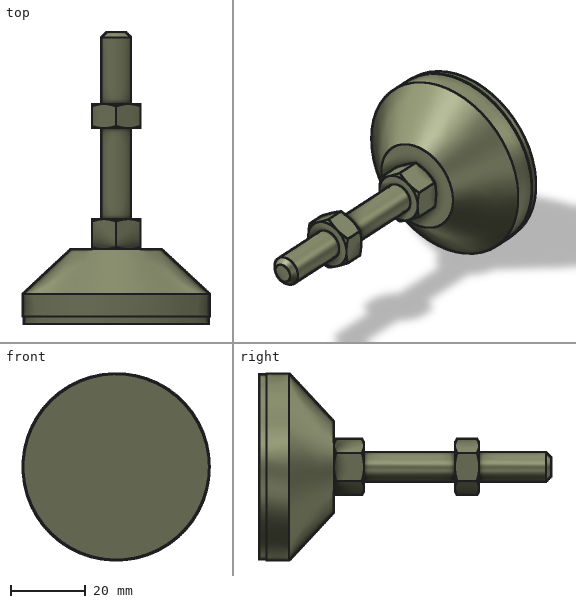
import cadquery as cq
import math

total_length = 78.0

foot_diameter = 50.0
sole_diameter = 49.5
sole_thickness = 2.0
rim_top = 8.0
foot_height = 20.0
neck_diameter = 24.3

stud_diameter = 8.0
tip_diameter = 5.0
tip_length = 1.5

nut_across_flats = 13.0
nut_across_corners = nut_across_flats / math.cos(math.pi / 6)
nut_face_diameter = 13.0
nut_chamfer_angle = 30.0
base_nut_height = 8.0
lock_nut_start = 52.25
lock_nut_height = 6.5


def make_foot():
    """Revolve the stepped sole, cylindrical rim and conical top."""
    return (
        cq.Workplane("XY")
        .lineTo(sole_diameter / 2, 0)
        .lineTo(sole_diameter / 2, sole_thickness)
        .lineTo(foot_diameter / 2, sole_thickness)
        .lineTo(foot_diameter / 2, rim_top)
        .lineTo(neck_diameter / 2, foot_height)
        .lineTo(0, foot_height)
        .close()
        .revolve(360, (0, 0), (0, 1))
    )


def make_stud():
    """Revolve the stud from the foot's top to its tapered tip."""
    return (
        cq.Workplane("XY")
        .moveTo(0, foot_height)
        .lineTo(stud_diameter / 2, foot_height)
        .lineTo(stud_diameter / 2, total_length - tip_length)
        .lineTo(tip_diameter / 2, total_length)
        .lineTo(0, total_length)
        .close()
        .revolve(360, (0, foot_height), (0, total_length))
    )


def make_nut(start, height):
    """Intersect a hexagonal prism with a double-chamfered round blank."""
    corner_radius = nut_across_corners / 2
    face_radius = nut_face_diameter / 2
    chamfer_height = (corner_radius - face_radius) * math.tan(math.radians(nut_chamfer_angle))
    end = start + height
    prism = (
        cq.Workplane("XZ", origin=(0, start, 0))
        .transformed(rotate=(0, 0, 90))
        .polygon(6, nut_across_corners)
        .extrude(-height)
    )
    blank = (
        cq.Workplane("XY")
        .moveTo(0, start)
        .lineTo(face_radius, start)
        .lineTo(corner_radius, start + chamfer_height)
        .lineTo(corner_radius, end - chamfer_height)
        .lineTo(face_radius, end)
        .lineTo(0, end)
        .close()
        .revolve(360, (0, start), (0, end))
    )
    return prism.intersect(blank)


result = make_foot().union(make_stud())
for nut_start, nut_height in (
    (foot_height, base_nut_height),
    (lock_nut_start, lock_nut_height),
):
    result = result.union(make_nut(nut_start, nut_height))